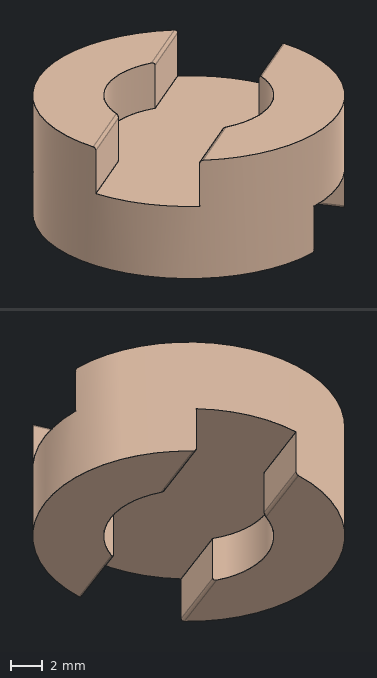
import cadquery as cq

diameter = 19.8
height = 8.25

slot_width = 6.85
slot_depth = 3.2
pocket_diameter = 10.77
edge_radius = 0.2

top = height / 2
floor = top - slot_depth
half_width = slot_width / 2


def slot_cutter():
    """Slot along Y in the top face, flaring outward to round its rims."""
    half_mouth = half_width + edge_radius
    rim_start = top - edge_radius
    return (
        cq.Workplane("XZ")
        .moveTo(-half_width, floor)
        .lineTo(half_width, floor)
        .lineTo(half_width, rim_start)
        .radiusArc((half_mouth, top), edge_radius)
        .lineTo(-half_mouth, top)
        .radiusArc((-half_width, rim_start), edge_radius)
        .close()
        .extrude(diameter / 2, both=True)
    )


def pocket_cutter():
    """Round central pocket, as deep as the slot."""
    return cq.Workplane("XY").workplane(offset=floor).circle(pocket_diameter / 2).extrude(slot_depth)


disc = cq.Workplane("XY").circle(diameter / 2).extrude(height / 2, both=True)
top_cutter = slot_cutter().union(pocket_cutter())

bottom_cutter = top_cutter.rotate((0, 0, 0), (1, 1, 0), 180)

result = disc.cut(top_cutter).cut(bottom_cutter)